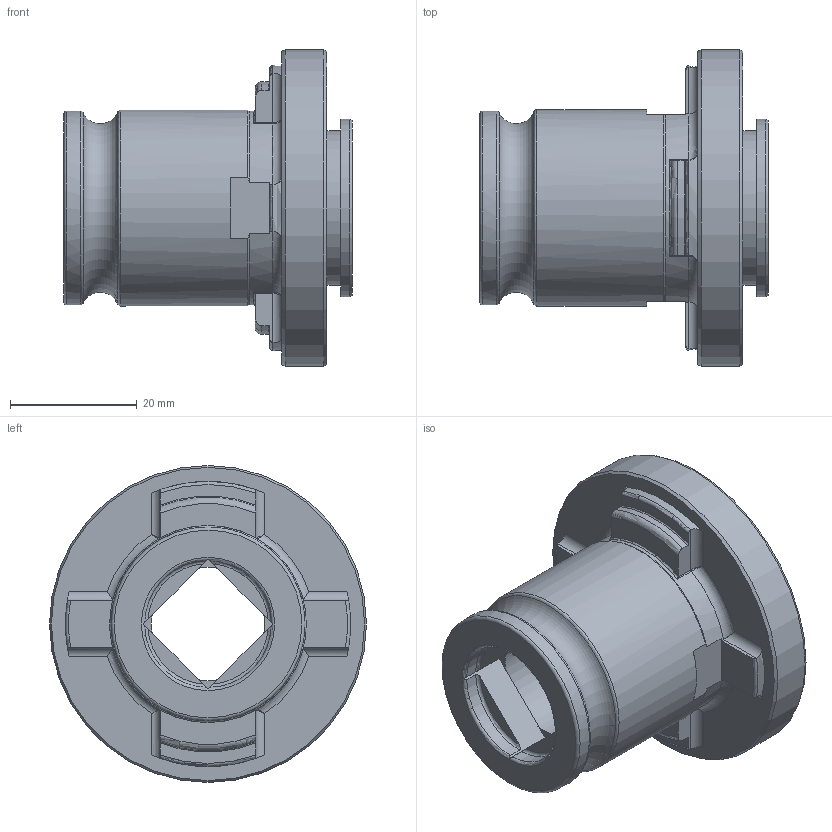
import cadquery as cq
import math

groove_center_x = 5.75
flat_start_x = 26.3
barrel_end_x = 29.0
step_face_x = 30.2
lug_face_x = 32.5
flange_face_x = 34.4
flange_back_x = 41.5
ring_face_x = 43.7
total_length = 45.5

head_radius = 15.3
barrel_radius = 15.5
neck_radius = head_radius
flange_radius = 25.0
hub_radius = 12.2
ring_radius = 14.0
groove_floor_radius = 13.3
groove_arc_radius = 3.0

body_fillet = 0.5
shoulder_length = 0.3
flange_chamfer_length = 0.5
flange_chamfer_height = 0.3
ring_chamfer_length = 0.4
ring_chamfer_height = 0.2

lug_radius = 22.5
lug_edge_fillet = 0.5
narrow_lug_width = 7.4
wide_lug_width = 15.0
root_fillet = 1.4
step_radius = 20.0
step_edge_fillet = 1.0
step_root_fillet = 0.2
neck_joint_fillet = 0.25

flat_offset = 14.75

counterbore_radius = 10.0
counterbore_depth = 3.0
counterbore_fillet = 0.5
square_side = 14.5
square_end_x = 8.0
bore_radius = 8.95

TOLERANCE = 0.01


def disc(radius, start_x, end_x):
    """Cylinder about the X axis between two stations."""
    return cq.Workplane("YZ").workplane(offset=start_x).circle(radius).extrude(end_x - start_x)


def circle_edges(body, station_x, radius):
    """Arcs about the X axis with the given station and radius."""
    def matches(edge):
        if edge.geomType() != "CIRCLE":
            return False
        center = edge.arcCenter()
        on_axis = math.hypot(center.y, center.z) < TOLERANCE
        at_station = abs(center.x - station_x) < TOLERANCE
        right_size = abs(edge.radius() - radius) < TOLERANCE
        return on_axis and at_station and right_size

    return body.edges().filter(matches)


def turned_body():
    """Grooved head, barrel, neck, flange, hub and end ring as one revolution."""
    arc_center_radius = groove_floor_radius + groove_arc_radius

    def groove_half_width(radius):
        return math.sqrt(groove_arc_radius**2 - (arc_center_radius - radius) ** 2)

    groove_start_x = groove_center_x - groove_half_width(head_radius)
    groove_end_x = groove_center_x + groove_half_width(barrel_radius)
    body = (
        cq.Workplane("XY")
        .lineTo(0, head_radius)
        .lineTo(groove_start_x, head_radius)
        .threePointArc((groove_center_x, groove_floor_radius), (groove_end_x, barrel_radius))
        .lineTo(barrel_end_x, barrel_radius)
        .lineTo(barrel_end_x + shoulder_length, neck_radius)
        .lineTo(flange_face_x - root_fillet, neck_radius)
        .radiusArc((flange_face_x, neck_radius + root_fillet), -root_fillet)
        .lineTo(flange_face_x, flange_radius - flange_chamfer_height)
        .lineTo(flange_face_x + flange_chamfer_length, flange_radius)
        .lineTo(flange_back_x - flange_chamfer_length, flange_radius)
        .lineTo(flange_back_x, flange_radius - flange_chamfer_height)
        .lineTo(flange_back_x, hub_radius)
        .lineTo(ring_face_x, hub_radius)
        .lineTo(ring_face_x, ring_radius)
        .lineTo(total_length - ring_chamfer_length, ring_radius)
        .lineTo(total_length, ring_radius - ring_chamfer_height)
        .lineTo(total_length, 0)
        .close()
        .revolve(360, (0, 0, 0), (1, 0, 0))
    )
    for station_x, radius in (
        (0, head_radius),
        (groove_start_x, head_radius),
        (groove_end_x, barrel_radius),
    ):
        body = circle_edges(body, station_x, radius).fillet(body_fillet)
    return body


def lug_pair(width):
    """Bar across the axis along Z that makes two opposite lugs, flared where it meets the flange."""
    half_width = width / 2
    flare_start_x = flange_face_x - root_fillet
    bar = (
        cq.Workplane("XY")
        .moveTo(lug_face_x, -half_width)
        .lineTo(lug_face_x, half_width)
        .lineTo(flare_start_x, half_width)
        .radiusArc((flange_face_x, half_width + root_fillet), -root_fillet)
        .lineTo(flange_face_x, -half_width - root_fillet)
        .radiusArc((flare_start_x, -half_width), -root_fillet)
        .close()
        .extrude(flange_radius, both=True)
    )
    blank = disc(lug_radius, lug_face_x, flange_face_x)
    blank = blank.faces("<X").edges().fillet(lug_edge_fillet)
    return bar.intersect(blank)


def add_lugs(body):
    """Two wide lugs above and below the axis and two narrow ones beside it."""
    body = body.union(lug_pair(wide_lug_width))
    return body.union(lug_pair(narrow_lug_width).rotate((0, 0, 0), (1, 0, 0), 90))


def add_steps(body):
    """Raised steps on the two wide lugs, rounded outside and blended into the neck."""
    bar = cq.Workplane("XY").box(
        total_length, wide_lug_width, 2 * step_radius, centered=(False, True, True)
    )
    steps = disc(step_radius, step_face_x, lug_face_x).intersect(bar)
    body = body.union(steps)
    body = circle_edges(body, step_face_x, step_radius).fillet(step_edge_fillet)
    body = circle_edges(body, lug_face_x, step_radius).fillet(step_root_fillet)

    flare_start_x = flange_face_x - root_fillet

    def meets_neck(edge):
        middle = edge.positionAt(0.5)
        on_neck = abs(math.hypot(middle.y, middle.z) - neck_radius) < TOLERANCE
        beside_step = abs(middle.y) < wide_lug_width / 2 + TOLERANCE
        within_length = step_face_x - TOLERANCE < middle.x < flare_start_x - TOLERANCE
        return on_neck and beside_step and within_length

    return body.edges().filter(meets_neck).fillet(neck_joint_fillet)


def cut_flats(body):
    """Flats on the barrel and neck leading up to the narrow lugs."""
    depth = barrel_radius - flat_offset
    length = lug_face_x - flat_start_x
    for side in (-1, 1):
        cutter = cq.Workplane("XY").box(length, 2 * depth, barrel_radius, centered=(False, True, True))
        body = body.cut(cutter.translate((flat_start_x, side * (flat_offset + depth), 0)))
    return body


def cut_bore(body):
    """Rounded counterbore, square socket set on its corner and plain round bore."""
    counterbore = disc(counterbore_radius, 0, counterbore_depth)
    counterbore = counterbore.faces(">X").edges().fillet(counterbore_fillet)
    socket = cq.Workplane("YZ").rect(square_side, square_side).extrude(square_end_x)
    socket = socket.rotate((0, 0, 0), (1, 0, 0), 45)
    body = body.cut(counterbore)
    body = circle_edges(body, 0, counterbore_radius).fillet(counterbore_fillet)
    return body.cut(socket).cut(disc(bore_radius, square_end_x, total_length))


body = turned_body()
body = add_lugs(body)
body = add_steps(body)
body = cut_flats(body)
result = cut_bore(body)